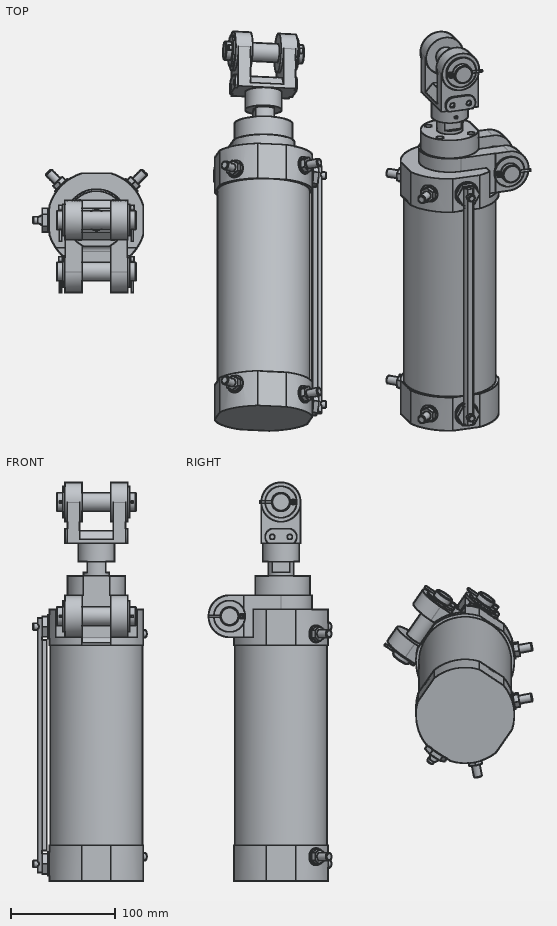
import cadquery as cq

overall_height = 382.0

tube_diameter = 88.5
cover_diameter = 94.5
cover_flat = 45.0
cover_height = 34.5
body_height = 260.0
barrel_top = body_height - cover_height

flange_diameter = 59.5
flange_height = 13.8
gland_diameter = 55.8
gland_height = 18.5
gland_flat = 25.0
screw_hole_diameter = 7.0
screw_hole_depth = 3.0
screw_circle_radius = 22.5
screw_count = 4
first_screw_angle = 45

lug_outer = 30.0
lug_inner = 13.8
pin_diameter = 18.0

bracket_lug_diameter = 40.5
bracket_arm_outer = flange_diameter / 2
bracket_pin_y = -49.3
lug_pad_start = -35.5
bracket_top = body_height + flange_height
gland_top = bracket_top + gland_height
bracket_pin_z = bracket_top - bracket_lug_diameter / 2
arm_bottom = bracket_top - bracket_lug_diameter

relief_wall = -26.5
slot_floor = 228.5
slot_fillet = 5.0

rod_diameter = 25.0
rod_flat_width = 18.0
rod_flat_bottom = 295.5
rod_end_diameter = 20.0

yoke_lug_diameter = 38.0
yoke_half_width = yoke_lug_diameter / 2
yoke_pin_z = overall_height - yoke_half_width
yoke_arm_outer = 28.0
yoke_arm_inner = 16.0
yoke_bottom = 323.5
yoke_floor = 335.8
floor_half_width = 11.5
floor_edge_z = 327.5
neck_diameter = 35.0
neck_bottom = 306.0
set_screw_diameter = 3.0
set_screw_z = 311.5
set_screw_depth = 2.0
pad_length = 30.0
pad_height = 16.0
pad_top = 337.5
pad_hole_diameter = 5.0
pad_hole_spacing = 16.8

pin_half_length = 38.2
pin_chamfer = 0.8
washer_diameter = 30.0
washer_thickness = 2.0
split_pin_diameter = 2.3
split_pin_x = 34.5
split_pin_tip = 20.2
split_pin_eye_diameter = 5.0
split_pin_eye_y = 12.0
split_pin_eye_width = 3.5
split_pin_eye_hole = 2.3

fitting_inset = 16.5
fitting_offset = 7.0
left_port_angle = 135
right_port_angle = 45
rail_angle = 180
port_seat_diameter = 16.8
port_seat_face = 47.8
port_nut_diameter = 14.5
port_nut_face = 52.7
port_stud_diameter = 8.0
port_stud_tip = 65.5
rail_seat_diameter = 23.0
rail_seat_face = 46.5
rail_nut_diameter = 23.0
rail_nut_face = 52.0
rail_stud_diameter = 7.0
rail_stud_tip = 60.7
stud_chamfer = 0.8
fitting_root = 42.0

rail_diameter = 10.5
rail_end_margin = 8.5
rail_notch_length = 21.0

rear_fitting_z = fitting_inset
head_fitting_z = body_height - fitting_inset


def cylinder_x(diameter, x_start, x_end, y=0.0, z=0.0):
    """Round bar parallel to X."""
    return cq.Workplane("YZ", origin=(x_start, y, z)).circle(diameter / 2).extrude(x_end - x_start)


def cylinder_z(diameter, z_start, z_end):
    """Round bar on the Z axis."""
    return cq.Workplane("XY", origin=(0, 0, z_start)).circle(diameter / 2).extrude(z_end - z_start)


def block(x_range, y_range, z_range):
    """Box between the given limits."""
    lows, highs = zip(x_range, y_range, z_range)
    sizes = [high - low for low, high in zip(lows, highs)]
    return cq.Workplane("XY", origin=lows).box(*sizes, centered=False)


def cover(z_start):
    """Round cover with four side flats."""
    square = cq.Workplane("XY", origin=(0, 0, z_start)).rect(2 * cover_flat, 2 * cover_flat)
    return cylinder_z(cover_diameter, z_start, z_start + cover_height).intersect(square.extrude(cover_height))


def fitting(angle, z, seat, nut, stud, corner_angle):
    """Seat, hexagon nut and stud pointing outwards; seat, nut and stud are (diameter, outer face)."""
    plane = cq.Plane(origin=(fitting_root, 0, z), xDir=(0, 1, 0), normal=(1, 0, 0))
    seat_disc = cq.Workplane(plane).circle(seat[0] / 2).extrude(seat[1] - fitting_root)
    hexagon = cq.Workplane(plane).transformed(rotate=(0, 0, corner_angle)).polygon(6, nut[0])
    stud_bar = cq.Workplane(plane).circle(stud[0] / 2).extrude(stud[1] - fitting_root)
    stud_bar = stud_bar.faces(">X").chamfer(stud_chamfer)
    whole = seat_disc.union(hexagon.extrude(nut[1] - fitting_root)).union(stud_bar)
    return whole.rotate((0, 0, 0), (0, 0, 1), angle)


def port(angle, z):
    """Port fitting, its nut with corners at top and bottom."""
    return fitting(
        angle,
        z,
        (port_seat_diameter, port_seat_face),
        (port_nut_diameter, port_nut_face),
        (port_stud_diameter, port_stud_tip),
        corner_angle=90,
    )


def rail_mount(z):
    """Nut and stud that carry one end of the rail."""
    return fitting(
        rail_angle,
        z,
        (rail_seat_diameter, rail_seat_face),
        (rail_nut_diameter, rail_nut_face),
        (rail_stud_diameter, rail_stud_tip),
        corner_angle=0,
    )


def bracket_slot():
    """Slot between the bracket lugs, with a fillet where its wall meets its floor."""
    slot = block((-lug_inner, lug_inner), (-cover_diameter, -gland_flat), (slot_floor, gland_top))
    return slot.edges(">Y and <Z").fillet(slot_fillet)


def add_fittings(body, z, port_shift):
    """Adds the rail mount and both ports to a cover."""
    body = body.union(rail_mount(z))
    return body.union(port(left_port_angle, z)).union(port(right_port_angle, z + port_shift))


def make_barrel():
    """Tube and rear cover in one piece, with the rear fittings."""
    barrel = cover(0).union(cylinder_z(tube_diameter, cover_height, barrel_top))
    return add_fittings(barrel, rear_fitting_z, fitting_offset)


def bracket_arm(side):
    """Arm from the flange to a round lug, thicker around the pin."""
    arm_x = sorted((side * lug_inner, side * bracket_arm_outer))
    pad_x = sorted((side * lug_inner, side * lug_outer))
    lug = cylinder_x(bracket_lug_diameter, *pad_x, bracket_pin_y, bracket_pin_z)
    lug_tip_y = bracket_pin_y - bracket_lug_diameter / 2
    front_half = block(pad_x, (lug_tip_y, bracket_pin_y), (arm_bottom, bracket_top))
    arm = block(arm_x, (lug_pad_start, 0), (body_height, bracket_top))
    arm = arm.union(block(arm_x, (lug_pad_start, relief_wall), (arm_bottom, bracket_top)))
    arm = arm.union(block(pad_x, (bracket_pin_y, lug_pad_start), (arm_bottom, bracket_top)))
    return arm.union(lug.intersect(front_half))


def make_head():
    """Head cover with its clevis bracket, gland and fittings."""
    relief = block(
        (-cover_diameter, cover_diameter), (-cover_diameter, relief_wall), (arm_bottom, body_height)
    )
    head = cover(barrel_top).cut(relief)
    head = head.union(cylinder_z(flange_diameter, body_height, bracket_top))
    head = head.union(cylinder_z(gland_diameter, bracket_top, gland_top))
    for side in (-1, 1):
        head = head.union(bracket_arm(side))
    head = head.cut(bracket_slot())
    head = head.cut(cylinder_x(pin_diameter, -lug_outer, lug_outer, bracket_pin_y, bracket_pin_z))
    screw_holes = (
        cq.Workplane("XY", origin=(0, 0, gland_top))
        .polarArray(screw_circle_radius, first_screw_angle, 360, screw_count)
        .circle(screw_hole_diameter / 2)
        .extrude(-screw_hole_depth)
    )
    head = add_fittings(head.cut(screw_holes), head_fitting_z, -fitting_offset)
    return head.cut(cylinder_z(rod_diameter, barrel_top, gland_top))


def make_rod():
    """Piston rod with two wrench flats and a thinner end inside the yoke."""
    rod = cylinder_z(rod_diameter, barrel_top, neck_bottom)
    for side in (-1, 1):
        flat_x = sorted((side * rod_flat_width / 2, side * rod_diameter))
        rod = rod.cut(block(flat_x, (-rod_diameter, rod_diameter), (rod_flat_bottom, neck_bottom)))
    return rod.union(cylinder_z(rod_end_diameter, neck_bottom, yoke_floor))


def yoke_side_pad(side):
    """Raised oblong pad on one arm, with two screw holes as deep as the pad."""
    pad_z = pad_top - pad_height / 2
    pad = (
        cq.Workplane("YZ", origin=(side * yoke_arm_outer, 0, pad_z))
        .slot2D(pad_length, pad_height)
        .extrude(side * (lug_outer - yoke_arm_outer))
    )
    holes = (
        cq.Workplane("YZ", origin=(side * yoke_arm_outer, 0, pad_z))
        .rarray(pad_hole_spacing, 4, 2, 1)
        .circle(pad_hole_diameter / 2)
        .extrude(side * (lug_outer - yoke_arm_outer))
    )
    below_yoke = block(
        (-lug_outer, lug_outer), (-pad_length, pad_length), (yoke_bottom - pad_height, yoke_bottom)
    )
    return pad.cut(holes).cut(below_yoke)


def make_yoke():
    """Fork with a sloped floor, round lugs and a neck around the rod end."""
    floor_profile = [
        (-yoke_half_width, yoke_bottom),
        (yoke_half_width, yoke_bottom),
        (yoke_half_width, floor_edge_z),
        (floor_half_width, yoke_floor),
        (-floor_half_width, yoke_floor),
        (-yoke_half_width, floor_edge_z),
    ]
    base = cq.Workplane("YZ").polyline(floor_profile).close().extrude(yoke_arm_outer, both=True)
    yoke = base.union(cylinder_z(neck_diameter, neck_bottom, yoke_bottom))
    for side in (-1, 1):
        arm_x = sorted((side * yoke_arm_inner, side * yoke_arm_outer))
        lug_x = sorted((side * lug_inner, side * lug_outer))
        yoke = yoke.union(block(arm_x, (-yoke_half_width, yoke_half_width), (yoke_bottom, yoke_pin_z)))
        yoke = yoke.union(cylinder_x(yoke_lug_diameter, *lug_x, 0, yoke_pin_z))
        yoke = yoke.union(yoke_side_pad(side))
    yoke = yoke.cut(cylinder_x(pin_diameter, -lug_outer, lug_outer, 0, yoke_pin_z))
    yoke = yoke.cut(cylinder_z(rod_end_diameter, neck_bottom, yoke_floor))
    neck_side = -neck_diameter / 2
    return yoke.cut(cylinder_x(set_screw_diameter, neck_side, neck_side + set_screw_depth, 0, set_screw_z))


def split_pin(x):
    """Split pin parallel to Y through a pin on the X axis, with its eye at +Y."""
    leg_length = split_pin_tip + split_pin_eye_y
    leg = (
        cq.Workplane("XZ", origin=(x, -split_pin_tip, 0)).circle(split_pin_diameter / 2).extrude(-leg_length)
    )
    eye = (
        cq.Workplane("YZ", origin=(x - split_pin_eye_width / 2, split_pin_eye_y, 0))
        .circle(split_pin_eye_diameter / 2)
        .extrude(split_pin_eye_width)
    )
    hole = cylinder_x(split_pin_eye_hole, x - split_pin_eye_width, x + split_pin_eye_width, split_pin_eye_y)
    return leg.union(eye).cut(hole)


def make_pin(y, z):
    """Clevis pin with a washer and a split pin at each end."""
    pin = cylinder_x(pin_diameter, -pin_half_length, pin_half_length).faces("<X or >X").chamfer(pin_chamfer)
    for side in (-1, 1):
        washer_x = sorted((side * lug_outer, side * (lug_outer + washer_thickness)))
        pin = pin.union(cylinder_x(washer_diameter, *washer_x)).union(split_pin(side * split_pin_x))
    return pin.translate((0, y, z))


def make_rail():
    """Hexagonal bar whose ends lie on the rail nuts with their inner half removed."""
    rail_bottom = rear_fitting_z - rail_end_margin
    rail_top = head_fitting_z + rail_end_margin
    rail = (
        cq.Workplane("XY", origin=(-rail_nut_face, 0, rail_bottom))
        .transformed(rotate=(0, 0, 90))
        .polygon(6, rail_diameter)
        .extrude(rail_top - rail_bottom)
    )
    inner_x = (-rail_nut_face, -rail_nut_face + rail_diameter)
    ends = ((rail_bottom, rail_bottom + rail_notch_length), (rail_top - rail_notch_length, rail_top))
    for end_z in ends:
        rail = rail.cut(block(inner_x, (-rail_diameter, rail_diameter), end_z))
    for z in (rear_fitting_z, head_fitting_z):
        rail = rail.cut(cylinder_x(rail_stud_diameter, -rail_stud_tip, -rail_nut_face, 0, z))
    return rail


barrel = make_barrel()
head = make_head()
rod = make_rod()
yoke = make_yoke()
pins = [make_pin(y, z) for y, z in ((bracket_pin_y, bracket_pin_z), (0, yoke_pin_z))]
rail = make_rail()

result = cq.Compound.makeCompound(
    [barrel.val(), head.val(), rod.val(), yoke.val(), *[pin.val() for pin in pins], rail.val()]
)